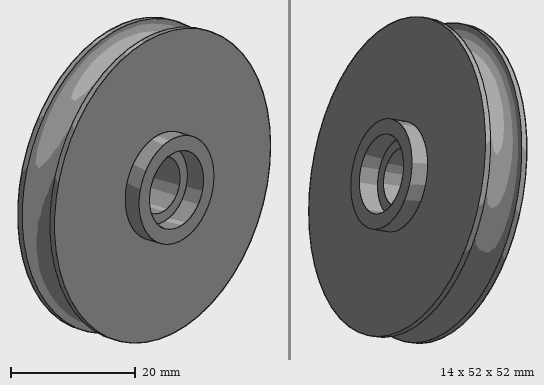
import cadquery as cq

hub_length = 14.0
hub_diameter = 18.0
wheel_width = 8.0
wheel_diameter = 52.0

groove_width = 6.0
groove_depth = 3.5

bore_diameter = 9.5
seat_diameter = 13.0
seat_depth = 3.5


def cylinder_on_axis(diameter, length, start_x):
    """Cylinder along +X whose first end face lies at start_x."""
    return cq.Workplane("YZ").workplane(offset=start_x).circle(diameter / 2).extrude(length)


def groove_cutter():
    """Ring with a U-shaped section, opening outward at the rim."""
    half_width = groove_width / 2
    rim_radius = wheel_diameter / 2
    bottom_radius = rim_radius - groove_depth
    arc_centre_radius = bottom_radius + half_width
    outer_radius = rim_radius + groove_depth
    return (
        cq.Workplane("XY")
        .moveTo(-half_width, outer_radius)
        .lineTo(-half_width, arc_centre_radius)
        .threePointArc((0, bottom_radius), (half_width, arc_centre_radius))
        .lineTo(half_width, outer_radius)
        .close()
        .revolve(360, (0, 0, 0), (1, 0, 0))
    )


wheel = cylinder_on_axis(wheel_diameter, wheel_width, -wheel_width / 2)
hub = cylinder_on_axis(hub_diameter, hub_length, -hub_length / 2)
result = wheel.union(hub).cut(groove_cutter())

result = result.cut(cylinder_on_axis(bore_diameter, hub_length, -hub_length / 2))
for seat_start in (-hub_length / 2, hub_length / 2 - seat_depth):
    result = result.cut(cylinder_on_axis(seat_diameter, seat_depth, seat_start))